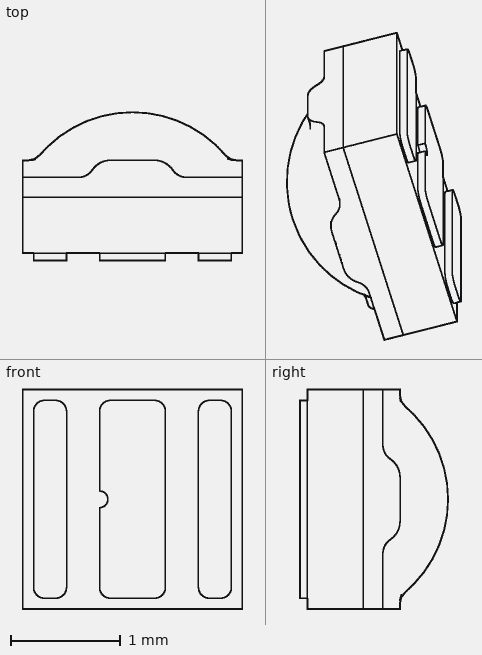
import cadquery as cq
import math

side = 2.0
half_side = side / 2
total_depth = 1.35

pad_thickness = 0.068
pad_height = 1.8
pad_corner_radius = 0.1
side_pad_width = 0.3
center_pad_width = 0.6
side_pad_offset = (pad_height - side_pad_width) / 2
notch_radius = 0.075

substrate_thickness = 0.508
base_thickness = 0.18
substrate_front = pad_thickness
base_front = substrate_front + substrate_thickness
base_back = base_front + base_thickness

ridge_rise = 0.155
ridge_flat_half = 0.2
ridge_foot_half = 0.495
ridge_crest_radius = 0.2

dome_radius = 1.11
dome_blend_radius = 0.135


def pad(center_x, width):
    """Round-cornered solder pad on the front of the substrate."""
    return (
        cq.Workplane("XY")
        .box(width, pad_thickness, pad_height)
        .edges("|Y")
        .fillet(pad_corner_radius)
        .translate((center_x, pad_thickness / 2, 0))
    )


def center_pad():
    """Wide middle pad with a half-round polarity notch in its -X edge."""
    notch = (
        cq.Workplane("XZ")
        .center(-center_pad_width / 2, 0)
        .circle(notch_radius)
        .extrude(-pad_thickness)
    )
    return pad(0, center_pad_width).cut(notch)


def slab(front, thickness):
    """Square plate over the whole package outline."""
    return cq.Workplane("XY").box(side, thickness, side).translate((0, front + thickness / 2, 0))


def ridge():
    """Ridge along Z: flat top, convex crests and concave feet, all tangent."""
    run = ridge_foot_half - ridge_flat_half
    radius_sum = (run**2 + ridge_rise**2) / (2 * ridge_rise)
    foot_radius = radius_sum - ridge_crest_radius
    slope = math.asin(run / radius_sum)
    top = base_back + ridge_rise

    def crest_point(angle):
        x = ridge_flat_half + ridge_crest_radius * math.sin(angle)
        return x, top - ridge_crest_radius * (1 - math.cos(angle))

    def foot_point(angle):
        x = ridge_foot_half - foot_radius * math.sin(angle)
        return x, base_back + foot_radius * (1 - math.cos(angle))

    def mirrored(point):
        return -point[0], point[1]

    crest_middle = crest_point(slope / 2)
    crest_end = crest_point(slope)
    foot_middle = foot_point(slope / 2)
    foot_end = foot_point(0)
    return (
        cq.Workplane("XY", origin=(0, 0, -half_side))
        .moveTo(-ridge_flat_half, top)
        .lineTo(ridge_flat_half, top)
        .threePointArc(crest_middle, crest_end)
        .threePointArc(foot_middle, foot_end)
        .lineTo(ridge_foot_half, base_front)
        .lineTo(-ridge_foot_half, base_front)
        .lineTo(*mirrored(foot_end))
        .threePointArc(mirrored(foot_middle), mirrored(crest_end))
        .threePointArc(mirrored(crest_middle), (-ridge_flat_half, top))
        .close()
        .extrude(side)
    )


def lens():
    """Base plate with two crossing ridges and a spherical dome blended into them."""
    upright = ridge()
    level = upright.rotate((0, 0, 0), (0, 1, 0), 90)
    base = slab(base_front, base_thickness).union(upright).union(level)
    envelope = cq.Workplane("XY").box(side, 2 * total_depth, side).translate(
        (0, base_front + total_depth, 0)
    )
    dome = (
        cq.Workplane("XY")
        .sphere(dome_radius)
        .rotate((0, 0, 0), (1, 0, 0), -90)
        .translate((0, total_depth - dome_radius, 0))
        .intersect(envelope)
    )
    body = base.union(dome)
    rim_zone = cq.selectors.BoxSelector(
        (-side, base_front, -side), (side, base_back + 2 * ridge_rise, side)
    )
    rim = body.faces(cq.selectors.TypeSelector("SPHERE")).edges(rim_zone)
    return rim.fillet(dome_blend_radius)


side_pads = [pad(sign * side_pad_offset, side_pad_width) for sign in (-1, 1)]
middle_pad = center_pad()
substrate = slab(substrate_front, substrate_thickness)
lens_body = lens()

result = cq.Compound.makeCompound(
    [substrate.val(), lens_body.val(), middle_pad.val(), *[side_pad.val() for side_pad in side_pads]]
)